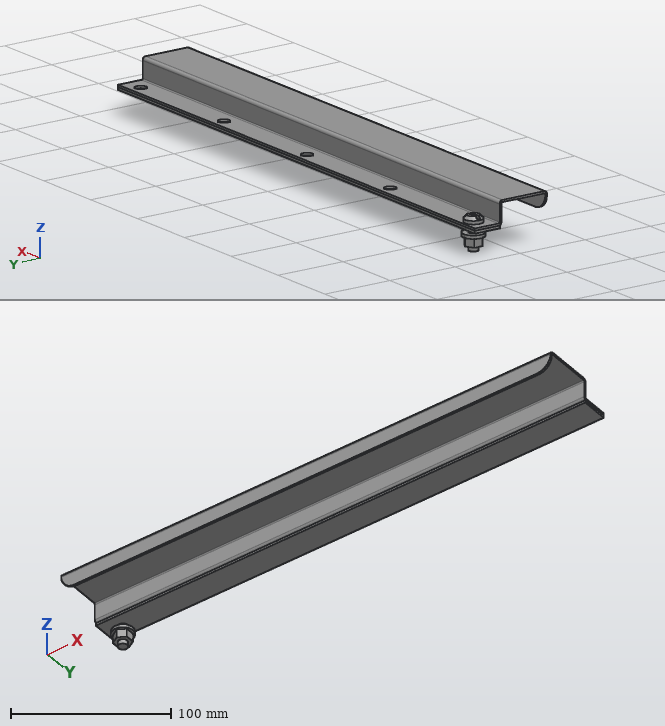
import cadquery as cq

LENGTH = 381.0
DEPTH = 55.5
HEIGHT = 33.5

SHEET = 1.5
BEND_INSIDE = 0.8
BEND_OUTSIDE = BEND_INSIDE + SHEET
FLANGE_TOP = -15.0
FLANGE_BOTTOM = FLANGE_TOP - SHEET
WALL_BACK = -19.0
WALL_FRONT = WALL_BACK - SHEET
LIP_DROP = 13.0
LIP_CORNER = 10.5

STRIP_THICKNESS = 2.0
STRIP_WIDTH = 19.5
STRIP_BOTTOM = FLANGE_BOTTOM - STRIP_THICKNESS

HOLE_COUNT = 5
HOLE_PITCH = 88.8
HOLE_DIAMETER = 8.0
HOLE_Y = -8.0
FIRST_HOLE_X = 12.5

SHANK_DIAMETER = 6.5
HEAD_DIAMETER = 13.0
HEAD_HEIGHT = 4.5
HEAD_CHAMFER = 2.3
SLOT_WIDTH = 2.3
SLOT_DEPTH = 2.3
WASHER_DIAMETER = 15.2
WASHER_TOP = -21.7
WASHER_THICKNESS = 2.3
WASHER_BOTTOM = WASHER_TOP - WASHER_THICKNESS
NUT_HEIGHT = 6.0
NUT_FLATS = 11.0


def cylinder(x, diameter, bottom, top):
    """Upright cylinder on the line of fixing holes."""
    return (
        cq.Workplane("XY", origin=(x, HOLE_Y, bottom))
        .circle(diameter / 2)
        .extrude(top - bottom)
    )


def drill_fixing_holes(body):
    """Cut the full row of fixing holes through the flange."""
    for index in range(HOLE_COUNT):
        x = FIRST_HOLE_X + index * HOLE_PITCH
        body = body.cut(cylinder(x, HOLE_DIAMETER, FLANGE_BOTTOM, FLANGE_TOP))
    return body


def round_bend(body, y, z, radius):
    """Round the lengthwise edge that passes through (y, z)."""
    return body.edges(cq.selectors.NearestToPointSelector((LENGTH / 2, y, z))).fillet(radius)


def make_rail():
    """Sheet bent into a back flange, a wall, a top and a front lip."""
    profile = [
        (0, FLANGE_BOTTOM),
        (WALL_FRONT, FLANGE_BOTTOM),
        (WALL_FRONT, -SHEET),
        (SHEET - DEPTH, -SHEET),
        (SHEET - DEPTH, -LIP_DROP),
        (-DEPTH, -LIP_DROP),
        (-DEPTH, 0),
        (WALL_BACK, 0),
        (WALL_BACK, FLANGE_TOP),
        (0, FLANGE_TOP),
    ]
    rail = cq.Workplane("YZ").polyline(profile).close().extrude(LENGTH)

    outside_bends = [(WALL_FRONT, FLANGE_BOTTOM), (WALL_BACK, 0), (-DEPTH, 0)]
    inside_bends = [(WALL_BACK, FLANGE_TOP), (WALL_FRONT, -SHEET), (SHEET - DEPTH, -SHEET)]
    for y, z in outside_bends:
        rail = round_bend(rail, y, z, BEND_OUTSIDE)
    for y, z in inside_bends:
        rail = round_bend(rail, y, z, BEND_INSIDE)

    for x in (0, LENGTH):
        corner = cq.selectors.NearestToPointSelector((x, SHEET / 2 - DEPTH, -LIP_DROP))
        rail = rail.edges("|Y").edges(corner).fillet(LIP_CORNER)
    return drill_fixing_holes(rail)


def make_strip():
    """Flat sealing strip along the underside of the flange, pierced by the screw only."""
    strip = cq.Workplane("XY").box(LENGTH, STRIP_WIDTH, STRIP_THICKNESS, centered=False)
    strip = strip.translate((0, -STRIP_WIDTH, STRIP_BOTTOM))
    return strip.cut(cylinder(FIRST_HOLE_X, HOLE_DIAMETER, STRIP_BOTTOM, FLANGE_BOTTOM))


def make_screw():
    """Screw with a chamfered, slotted head resting on the flange."""
    head_top = FLANGE_TOP + HEAD_HEIGHT
    head = cylinder(FIRST_HOLE_X, HEAD_DIAMETER, FLANGE_TOP, head_top)
    head = head.faces(">Z").chamfer(HEAD_CHAMFER)
    slot = (
        cq.Workplane("XY", origin=(FIRST_HOLE_X, HOLE_Y, head_top))
        .rect(HEAD_DIAMETER, SLOT_WIDTH)
        .extrude(-SLOT_DEPTH)
    )
    shank = cylinder(FIRST_HOLE_X, SHANK_DIAMETER, -HEIGHT, FLANGE_TOP)
    return head.cut(slot).union(shank)


def make_washer():
    """Flat washer around the shank."""
    washer = cylinder(FIRST_HOLE_X, WASHER_DIAMETER, WASHER_BOTTOM, WASHER_TOP)
    return washer.cut(cylinder(FIRST_HOLE_X, SHANK_DIAMETER, WASHER_BOTTOM, WASHER_TOP))


def make_nut():
    """Hexagonal nut directly below the washer."""
    return (
        cq.Workplane("XY", origin=(FIRST_HOLE_X, HOLE_Y, WASHER_BOTTOM))
        .polygon(6, NUT_FLATS, circumscribed=True)
        .circle(SHANK_DIAMETER / 2)
        .extrude(-NUT_HEIGHT)
    )


rail = make_rail()
strip = make_strip()
screw = make_screw()
washer = make_washer()
nut = make_nut()

result = cq.Compound.makeCompound(
    [rail.val(), strip.val(), screw.val(), washer.val(), nut.val()]
)